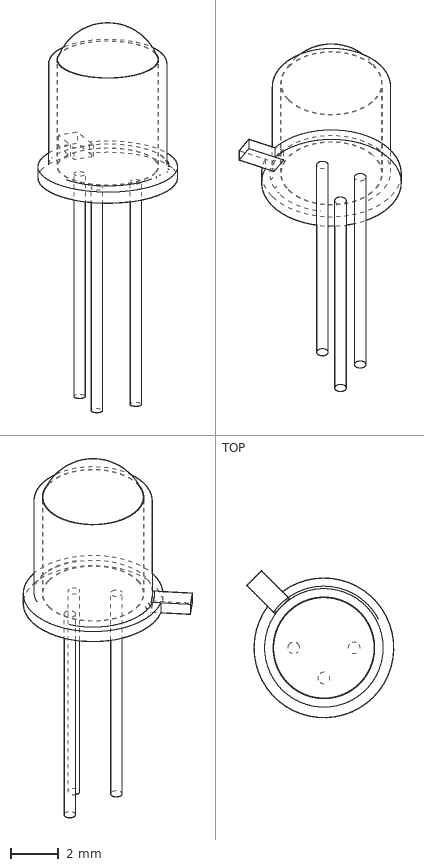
import cadquery as cq
import math

total_height = 16.8
lead_length = 10.0
flange_thickness = 0.5
rim_height = 15.3
flange_top = lead_length + flange_thickness

can_diameter = 4.95
flange_diameter = 5.85
bore_diameter = 4.25
rim_fillet = 0.2
foot_fillet = 0.1

lens_diameter = 4.2

tab_width = 0.87
tab_tip_reach = 3.23
tab_angle = 135.0
tab_inner_end = can_diameter / 2
tab_outer_end = tab_tip_reach * math.sqrt(2) - tab_width / 2

lead_diameter = 0.49
lead_circle_radius = 1.26
lead_angles = (180.0, 270.0, 0.0)


def make_tab():
    length = tab_outer_end - tab_inner_end
    return (
        cq.Workplane("XY", origin=(0, 0, lead_length))
        .center(tab_inner_end + length / 2, 0)
        .rect(length, tab_width)
        .extrude(flange_thickness)
        .rotate((0, 0, 0), (0, 0, 1), tab_angle)
    )


def make_can(tab):
    """Revolve the flanged wall with its filleted rim and foot, then notch it for the tab."""
    can_radius = can_diameter / 2
    flange_radius = flange_diameter / 2
    bore_radius = bore_diameter / 2
    diagonal = math.sqrt(0.5)
    rim_arc_middle = (
        can_radius - rim_fillet * (1 - diagonal),
        rim_height - rim_fillet * (1 - diagonal),
    )
    foot_arc_middle = (
        can_radius + foot_fillet * (1 - diagonal),
        flange_top + foot_fillet * (1 - diagonal),
    )
    can = (
        cq.Workplane("XZ")
        .moveTo(0, lead_length)
        .lineTo(flange_radius, lead_length)
        .lineTo(flange_radius, flange_top)
        .lineTo(can_radius + foot_fillet, flange_top)
        .threePointArc(foot_arc_middle, (can_radius, flange_top + foot_fillet))
        .lineTo(can_radius, rim_height - rim_fillet)
        .threePointArc(rim_arc_middle, (can_radius - rim_fillet, rim_height))
        .lineTo(bore_radius, rim_height)
        .lineTo(bore_radius, flange_top)
        .lineTo(0, flange_top)
        .close()
        .revolve(360, (0, 0), (0, 1))
    )
    return can.cut(tab).solids()


def make_lens():
    """Stand the lens on the floor of the can, with a small gap to the bore."""
    radius = lens_diameter / 2
    cap_height = total_height - rim_height
    sphere_radius = (radius**2 + cap_height**2) / (2 * cap_height)
    sphere_center = total_height - sphere_radius
    half_angle = math.asin(radius / sphere_radius) / 2
    cap_arc_middle = (
        sphere_radius * math.sin(half_angle),
        sphere_center + sphere_radius * math.cos(half_angle),
    )
    return (
        cq.Workplane("XZ")
        .moveTo(0, flange_top)
        .lineTo(radius, flange_top)
        .lineTo(radius, rim_height)
        .threePointArc(cap_arc_middle, (0, total_height))
        .close()
        .revolve(360, (0, 0), (0, 1))
    )


def make_lead(angle):
    x = lead_circle_radius * math.cos(math.radians(angle))
    y = lead_circle_radius * math.sin(math.radians(angle))
    return cq.Workplane("XY").center(x, y).circle(lead_diameter / 2).extrude(lead_length)


tab = make_tab()
can = make_can(tab)
lens = make_lens()
leads = [make_lead(angle) for angle in lead_angles]

result = cq.Compound.makeCompound(
    [can.val(), lens.val(), tab.val(), *[lead.val() for lead in leads]]
)